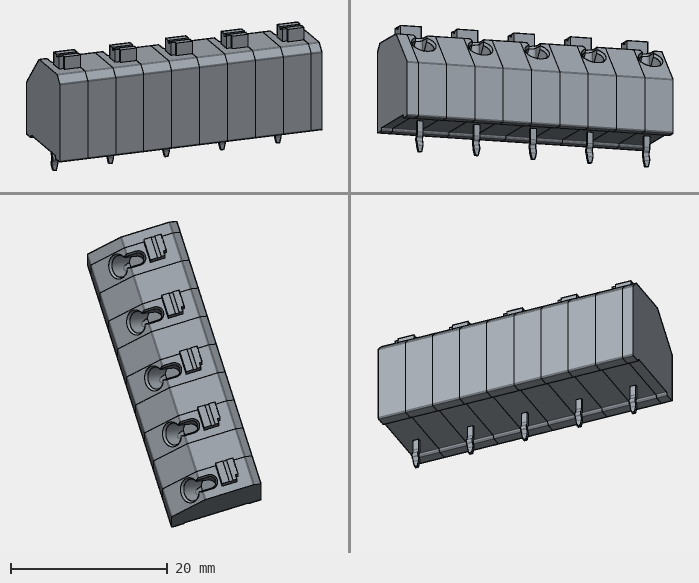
import cadquery as cq
import math

row_length = 35.8
pole_count = 5
pole_pitch = 7.62
segment_width = pole_pitch / 2
end_plate_start = (2 * pole_count - 1) * segment_width
end_plate_width = row_length - end_plate_start

contact_setback = 1.8
contact_y = segment_width - contact_setback

body_depth = 12.0
body_height = 11.52
slope_run = 4.5
slope_angle = 45.0
slope_start_height = body_height - slope_run * math.tan(math.radians(slope_angle))
rear_bevel = 1.0
foot_length = 1.65
foot_height = 0.4
corner_radius = 0.18

button_front = 7.1
button_length = 2.33
button_width = 2.8
button_height = 1.7
button_step_length = 0.35
button_step_width = 0.6
screwdriver_slot_center = 8.3
screwdriver_slot_width = 0.5
screwdriver_slot_depth = 0.305

into_slope = (math.sin(math.radians(slope_angle)), 0, -math.cos(math.radians(slope_angle)))

entry_center_x = 3.08
entry_center_z = slope_start_height + entry_center_x * math.tan(math.radians(slope_angle))
entry_mouth_radius = 1.6
lead_in_width = 0.2
lead_in_depth = 2 * lead_in_width
lead_in_angle = math.degrees(math.atan2(lead_in_width, lead_in_depth))
entry_radius = entry_mouth_radius - lead_in_width
entry_depth = 3.7
ramp_start_depth = 2.5
ramp_angle = 9.0

test_slot_back = 6.55
test_slot_width = 1.5

pin_front = 4.5
pin_thickness = 0.4
pin_width = 0.8
pin_tip_width = 0.4
pin_length = 3.58
bend_offset = 0.3
bend_apex_z = -1.95
bend_half_length = 0.85
bend_inner_half_length = 0.3


def profile_prism(width):
    """Body slice with the common side profile, from Y = 0 to Y = width."""
    outline = [
        (0, 0),
        (foot_length, 0),
        (foot_length, foot_height),
        (body_depth - foot_length, foot_height),
        (body_depth - foot_length, 0),
        (body_depth, 0),
        (body_depth, body_height - rear_bevel),
        (body_depth - rear_bevel, body_height),
        (slope_run, body_height),
        (0, slope_start_height),
    ]
    prism = cq.Workplane("XZ").polyline(outline).close().extrude(-width)
    return prism.edges("|Y").fillet(corner_radius)


def push_button():
    """Button on the top face, with a stepped rear corner and a round-bottomed screwdriver slot."""
    button_back = button_front + button_length
    button_low_y = segment_width - button_width
    plan = [
        (button_front, segment_width),
        (button_front, button_low_y),
        (button_back - button_step_length, button_low_y),
        (button_back - button_step_length, button_low_y + button_step_width),
        (button_back, button_low_y + button_step_width),
        (button_back, segment_width),
    ]
    block = cq.Workplane("XY", origin=(0, 0, body_height)).polyline(plan).close().extrude(button_height)
    top = body_height + button_height
    half_slot = screwdriver_slot_width / 2
    arc_center_z = top - screwdriver_slot_depth + half_slot
    slot = (
        cq.Workplane("XZ")
        .moveTo(screwdriver_slot_center - half_slot, top)
        .lineTo(screwdriver_slot_center - half_slot, arc_center_z)
        .threePointArc(
            (screwdriver_slot_center, top - screwdriver_slot_depth),
            (screwdriver_slot_center + half_slot, arc_center_z),
        )
        .lineTo(screwdriver_slot_center + half_slot, top)
        .close()
        .extrude(-segment_width)
    )
    return block.cut(slot)


def wire_entry():
    """Tool shape of the blind hole: lead-in cone, bore, and a ramp along the lower wall near its end."""
    center = (entry_center_x, contact_y, entry_center_z)
    bore_plane = cq.Plane(origin=center, xDir=(0, 1, 0), normal=into_slope)
    bore = cq.Workplane(bore_plane).circle(entry_radius).extrude(entry_depth)
    lead_in = cq.Solid.makeCone(
        entry_mouth_radius, entry_radius, lead_in_depth, pnt=bore_plane.origin, dir=bore_plane.zDir
    )
    axial_plane = cq.Plane(origin=center, xDir=into_slope, normal=(0, -1, 0))
    ramp_rise = (entry_depth - ramp_start_depth) * math.tan(math.radians(ramp_angle))
    ramp = (
        cq.Workplane(axial_plane)
        .moveTo(ramp_start_depth, -entry_radius)
        .lineTo(entry_depth, -entry_radius)
        .lineTo(entry_depth, -entry_radius + ramp_rise)
        .close()
        .extrude(entry_radius, both=True)
    )
    return bore.cut(ramp).union(lead_in)


def test_slot():
    """Tool shape of the upright slot that opens the bore to the top face, with a flared mouth."""
    length = test_slot_back - entry_center_x
    middle = (entry_center_x + test_slot_back) / 2
    mouth = cq.Workplane("XY", origin=(middle, contact_y, body_height))
    shaft = mouth.slot2D(length, test_slot_width).extrude(-body_height)
    bore_end_x = entry_center_x + entry_depth * math.sin(math.radians(slope_angle))
    bore_end_z = entry_center_z - entry_depth * math.cos(math.radians(slope_angle))
    floor_back_z = bore_end_z + (test_slot_back - bore_end_x) * math.tan(math.radians(slope_angle))
    above_floor = (
        cq.Workplane("XZ")
        .moveTo(entry_center_x, body_height)
        .lineTo(entry_center_x, entry_center_z)
        .lineTo(bore_end_x, bore_end_z)
        .lineTo(test_slot_back, floor_back_z)
        .lineTo(test_slot_back, body_height)
        .close()
        .extrude(-segment_width)
    )
    flare = mouth.slot2D(length + 2 * lead_in_width, test_slot_width + 2 * lead_in_width).extrude(
        -lead_in_depth, taper=lead_in_angle
    )
    return shaft.intersect(above_floor).union(flare)


def solder_pin():
    """Flat pin below the body, bent once towards +X and narrowed at the tip."""
    bend_top = bend_apex_z + bend_half_length
    bend_bottom = bend_apex_z - bend_half_length
    upper_turn = bend_apex_z + bend_inner_half_length
    lower_turn = bend_apex_z - bend_inner_half_length
    turn_offset = bend_offset * (bend_half_length - bend_inner_half_length) / bend_half_length
    pin_back = pin_front + pin_thickness
    side = (
        cq.Workplane("XZ")
        .moveTo(pin_front, foot_height)
        .lineTo(pin_front, bend_top)
        .tangentArcPoint((pin_front + turn_offset, upper_turn), relative=False)
        .tangentArcPoint((pin_front + turn_offset, lower_turn), relative=False)
        .tangentArcPoint((pin_front, bend_bottom), relative=False)
        .lineTo(pin_front, -pin_length)
        .lineTo(pin_back, -pin_length)
        .lineTo(pin_back, bend_bottom)
        .tangentArcPoint((pin_back + turn_offset, lower_turn), relative=False)
        .tangentArcPoint((pin_back + turn_offset, upper_turn), relative=False)
        .tangentArcPoint((pin_back, bend_top), relative=False)
        .lineTo(pin_back, foot_height)
        .close()
        .extrude(-segment_width)
    )
    half_width = pin_width / 2
    half_tip = pin_tip_width / 2
    taper_start = bend_apex_z - bend_half_length
    front = (
        cq.Workplane("YZ")
        .polyline(
            [
                (contact_y - half_width, foot_height),
                (contact_y - half_width, taper_start),
                (contact_y - half_tip, -pin_length),
                (contact_y + half_tip, -pin_length),
                (contact_y + half_width, taper_start),
                (contact_y + half_width, foot_height),
            ]
        )
        .close()
        .extrude(body_depth)
    )
    return side.intersect(front)


def pole_module():
    """One pole: body slice with wire entry and test slot, carrying its button and pin."""
    body = profile_prism(segment_width).cut(wire_entry()).cut(test_slot())
    return body.union(push_button()).union(solder_pin())


pole = pole_module()
spacer = profile_prism(segment_width)
end_plate = profile_prism(end_plate_width).translate((0, end_plate_start, 0))

poles = []
for index in range(pole_count):
    poles.append(pole.translate((0, index * pole_pitch, 0)).val())

spacers = []
for index in range(pole_count - 1):
    spacers.append(spacer.translate((0, index * pole_pitch + segment_width, 0)).val())

result = cq.Compound.makeCompound([*poles, *spacers, end_plate.val()])